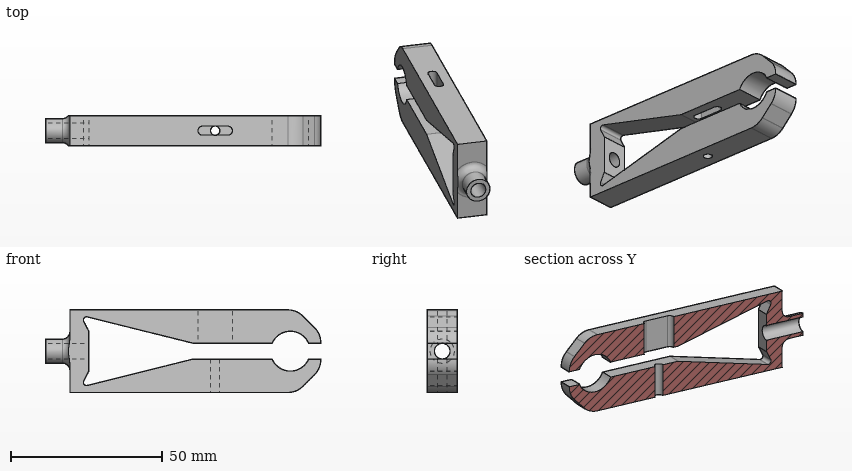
import cadquery as cq
import math

length = 90.9
width = 10.0
height = 27.35
half_height = height / 2

stem_length = 8.0
stem_radius = 4.0
stem_bore_radius = 2.5
stem_fillet = 2.45

gap = 5.2
cavity_wall_x = 14.3
cavity_wall_height = 13.3
cavity_tip_x = 11.6
taper_end_x = 48.6
taper_angle = 14.0
tip_radius = 1.0

jaw_chamfer = 8.0
jaw_fillet = 7.0
grip_x = 80.8
grip_radius = 6.5

screw_x = 56.0
screw_diameter = 3.0
slot_length = 11.4


def make_body():
    """Rectangular bar with blended bevels on both jaw ends."""
    bevel_x = length - jaw_chamfer
    bevel_z = half_height - jaw_chamfer
    body = (
        cq.Workplane("XZ")
        .moveTo(stem_length, -half_height)
        .lineTo(bevel_x, -half_height)
        .lineTo(length, -bevel_z)
        .lineTo(length, bevel_z)
        .lineTo(bevel_x, half_height)
        .lineTo(stem_length, half_height)
        .close()
        .extrude(width / 2, both=True)
    )
    bevel_region = cq.selectors.BoxSelector(
        (bevel_x - jaw_fillet, -width, -height),
        (length + jaw_fillet, width, height),
    )
    return body.edges("|Y").edges(bevel_region).fillet(jaw_fillet)


def make_stem():
    """Stem with a concave flare at the bar, trimmed flush with its sides."""
    flare_start_x = stem_length - stem_fillet
    flare_radius = stem_radius + stem_fillet
    arc_offset = stem_fillet * math.sqrt(0.5)
    stem = (
        cq.Workplane("XZ")
        .lineTo(0, stem_radius)
        .lineTo(flare_start_x, stem_radius)
        .threePointArc(
            (flare_start_x + arc_offset, flare_radius - arc_offset),
            (stem_length, flare_radius),
        )
        .lineTo(cavity_wall_x, flare_radius)
        .lineTo(cavity_wall_x, 0)
        .close()
        .revolve(360, (0, 0, 0), (1, 0, 0))
    )
    return stem.intersect(cq.Workplane("XY").box(2 * length, width, height))


def make_cavity():
    """Tapered opening with rounded rear tips, leading into the jaw gap."""
    half_gap = gap / 2
    half_wall = cavity_wall_height / 2
    taper_rise = (taper_end_x - cavity_tip_x) * math.tan(math.radians(taper_angle))
    tip_z = half_gap + taper_rise
    cavity = (
        cq.Workplane("XZ")
        .moveTo(cavity_wall_x, -half_wall)
        .lineTo(cavity_tip_x, -tip_z)
        .lineTo(taper_end_x, -half_gap)
        .lineTo(length, -half_gap)
        .lineTo(length, half_gap)
        .lineTo(taper_end_x, half_gap)
        .lineTo(cavity_tip_x, tip_z)
        .lineTo(cavity_wall_x, half_wall)
        .close()
        .extrude(width / 2, both=True)
    )
    return cavity.edges("|Y and <X").fillet(tip_radius)


def make_grip():
    """Cylindrical seat gripped between the jaws."""
    return (
        cq.Workplane("XZ")
        .center(grip_x, 0)
        .circle(grip_radius)
        .extrude(width / 2, both=True)
    )


def make_screw_passages():
    """Slot through the upper jaw above a round hole through the lower jaw."""
    plane = cq.Workplane("XY").center(screw_x, 0)
    slot = plane.slot2D(slot_length, screw_diameter).extrude(half_height)
    hole = plane.circle(screw_diameter / 2).extrude(-half_height)
    return slot.union(hole)


stem_bore = cq.Workplane("YZ").circle(stem_bore_radius).extrude(cavity_wall_x)

result = (
    make_body()
    .union(make_stem())
    .cut(make_cavity())
    .cut(make_grip())
    .cut(make_screw_passages())
    .cut(stem_bore)
)